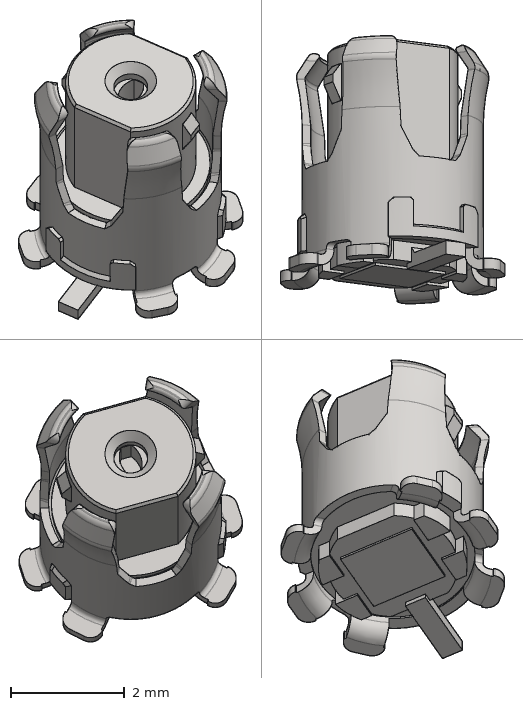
import cadquery as cq
import math

SHELL_RADIUS = 1.6
SHEET = 0.15
BORE_RADIUS = SHELL_RADIUS - SHEET
SHELL_BOTTOM = 0.405
TOTAL_HEIGHT = 4.09

WINDOW_FLOOR = 1.88
FINGER_BEND = 2.76
BULGE_RADIUS = 1.695
BULGE_LOW = 3.6
BULGE_HIGH = 3.72
BULGE_SETBACK = 0.02
TIP_SLOPE_END = (1.485, 4.015)
TIP_OUTER_RADIUS = 1.38
TIP_INNER_RADIUS = 1.358
FINGER_ANGLES = (45, 135, 225, 315)
FINGER_PLANE = 1.718
FINGER_DEPTH = 0.573
FINGER_SIDE_ANGLE = 19.0
FINGER_TIP = 4.225

ROOT_OVERLAP = 0.04

FOOT_REACH = 2.0
FOOT_THICKNESS = 0.195
FOOT_HALF_WIDTH = 0.375
FOOT_ROUND = 0.235
NECK_HALF_WIDTH = 0.348
NECK_ROUND = 0.102
BEND_TOP = 0.295
BEND_INSIDE = BEND_TOP - FOOT_THICKNESS
UNDER_BEND_RADIUS = 0.295
UNDER_BEND_END = BORE_RADIUS + UNDER_BEND_RADIUS
FOOT_ANGLES = (0, 45, 135, 180, 225, 315)

CORE_RADIUS = 1.15
FLAT_OFFSET = 1.0
CORE_CHAMFER = 0.05
CORE_BOTTOM = 0.1
STANDOFF_BOTTOM = 0.05
LEG_RADIUS = 1.31
LEG_INNER_X = 0.845
LEG_INNER_Y = 0.25
LEG_OUTER_Y = 0.777
BASE_PLATE_HALF_WIDTH = 0.715
BASE_PLATE_HALF_LENGTH = 0.615
DISC_RADIUS = 1.4
DISC_TOP = 1.91
DISC_BOTTOM = 0.445
GROOVE_BOTTOM = 1.8

SINK_RADIUS = 0.455
BORE_HOLE_RADIUS = 0.3
SINK_DEPTH = SINK_RADIUS - BORE_HOLE_RADIUS
LEDGE_DEPTH = 0.295
SLIT_HALF_WIDTH = 0.19
SLIT_DEPTH = 0.82

LATCH_REACH = 1.313
LATCH_HALF_WIDTH = 0.155
LATCH_BOTTOM = 3.068
LATCH_FACE_LOW = 3.385
LATCH_FACE_HIGH = 3.53
LATCH_TOP = 3.74

PAD_RADIUS = 1.675
PAD_TOP = 1.11
PAD_CORNER = 0.1
FRONT_PAD_HALF_ANGLE = 33.1
NOTCH_HALF_ANGLE = 17.6
NOTCH_CORNER = 0.05
BAND_OUTER_TOP = 0.595
BAND_INNER_TOP = 0.642
SIDE_PAD_HALF_WIDTH = 0.28
SIDE_PAD_TAPER = 35.0
SIDE_PAD_ANGLES = (22.5, 157.5)

LEAD_HALF_WIDTH = 0.2
LEAD_THICKNESS = 0.245
LEAD_END = 2.2
LEAD_HEEL_TOP = 0.355
LEAD_HEEL_LENGTH = 0.102
LEAD_ROOT = 0.165


def cylinder(radius, bottom, top):
    return cq.Workplane("XY").workplane(offset=bottom).circle(radius).extrude(top - bottom)


def turned(solid, angle):
    """Swing a feature built on the +X side to the given direction."""
    return solid.rotate((0, 0, 0), (0, 0, 1), angle)


def spring_ring():
    """Turned sheet profile above the window floor, before the windows are opened."""
    return (
        cq.Workplane("XZ")
        .moveTo(BORE_RADIUS, WINDOW_FLOOR)
        .lineTo(SHELL_RADIUS, WINDOW_FLOOR)
        .lineTo(SHELL_RADIUS, FINGER_BEND)
        .tangentArcPoint((BULGE_RADIUS, BULGE_LOW), relative=False)
        .tangentArcPoint((BULGE_RADIUS - BULGE_SETBACK, BULGE_HIGH), relative=False)
        .lineTo(*TIP_SLOPE_END)
        .tangentArcPoint((TIP_OUTER_RADIUS, TOTAL_HEIGHT), relative=False)
        .lineTo(TIP_INNER_RADIUS, TOTAL_HEIGHT)
        .threePointArc((1.3, 4.057), (1.292, 4.0))
        .lineTo(1.53, 3.655)
        .threePointArc((1.545, 3.615), (1.54, 3.575))
        .lineTo(BORE_RADIUS, FINGER_BEND)
        .close()
        .revolve(360, (0, 0, 0), (0, 1, 0))
    )


def finger_wedge():
    """One finger's outline, narrowing from outside the sheet towards the axis."""
    right_side = [
        (1.31, 1.635),
        (1.01, 1.89),
        (0.815, 2.07),
        (0.618, 2.425),
        (0.6, FINGER_BEND),
        (0.52, BULGE_LOW),
        (0.55, 3.925),
    ]
    round_middle = (0.46, 4.14)
    round_end = (0.255, FINGER_TIP)
    left_side = [(-y, z) for y, z in reversed(right_side)]
    return (
        cq.Workplane("YZ", origin=(FINGER_PLANE, 0, 0))
        .polyline(right_side)
        .threePointArc(round_middle, round_end)
        .lineTo(-round_end[0], FINGER_TIP)
        .threePointArc((-round_middle[0], round_middle[1]), left_side[0])
        .polyline(left_side[1:], includeCurrent=True)
        .close()
        .extrude(-FINGER_DEPTH, taper=FINGER_SIDE_ANGLE)
    )


def fingers():
    """Four fingers whose side faces run towards the part's axis."""
    finger = spring_ring().intersect(turned(finger_wedge(), 180))
    return [turned(finger, angle - 180) for angle in FINGER_ANGLES]


def body():
    """Shell wall flared out into a foot skirt, filled by the insulator disc.

    A tapered groove separates the top of the disc from the wall.
    """
    slant = UNDER_BEND_RADIUS * math.sqrt(0.5)
    skirt_edge = UNDER_BEND_END + ROOT_OVERLAP
    return (
        cq.Workplane("XZ")
        .moveTo(0, DISC_BOTTOM)
        .lineTo(BORE_RADIUS, DISC_BOTTOM)
        .lineTo(BORE_RADIUS, UNDER_BEND_RADIUS)
        .threePointArc((UNDER_BEND_END - slant, UNDER_BEND_RADIUS - slant), (UNDER_BEND_END, 0))
        .lineTo(skirt_edge, 0)
        .lineTo(skirt_edge, FOOT_THICKNESS)
        .lineTo(SHELL_RADIUS + BEND_INSIDE, FOOT_THICKNESS)
        .radiusArc((SHELL_RADIUS, BEND_TOP), BEND_INSIDE)
        .lineTo(SHELL_RADIUS, WINDOW_FLOOR)
        .lineTo(BORE_RADIUS, WINDOW_FLOOR)
        .lineTo(DISC_RADIUS, GROOVE_BOTTOM)
        .lineTo(DISC_RADIUS, DISC_TOP)
        .lineTo(0, DISC_TOP)
        .close()
        .revolve(360, (0, 0, 0), (0, 1, 0))
    )


def skirt_gap(start_angle, end_angle):
    """Wedge that clears the skirt between the necks of two neighbouring feet."""
    start = math.radians(start_angle)
    end = math.radians(end_angle)
    middle = (start + end) / 2
    apex_distance = NECK_HALF_WIDTH / math.sin((end - start) / 2)
    apex = (apex_distance * math.cos(middle), apex_distance * math.sin(middle))
    arm = 2 * FOOT_REACH
    corners = [apex] + [
        (apex[0] + arm * math.cos(side), apex[1] + arm * math.sin(side)) for side in (start, end)
    ]
    return cq.Workplane("XY").polyline(corners).close().extrude(SHELL_BOTTOM)


def foot_plate():
    """Flat rounded plate of the foot on the +X side."""
    return (
        cq.Workplane("XY")
        .center((UNDER_BEND_END + FOOT_REACH) / 2, 0)
        .rect(FOOT_REACH - UNDER_BEND_END, 2 * FOOT_HALF_WIDTH)
        .extrude(FOOT_THICKNESS)
        .edges("|Z and >X")
        .fillet(FOOT_ROUND)
    )


def core():
    """Flatted insulator post with a chamfered top and a thin base plate below."""
    flats = cq.Workplane("XY").box(
        2 * CORE_RADIUS, 2 * FLAT_OFFSET, TOTAL_HEIGHT, centered=(True, True, False)
    )
    post = cylinder(CORE_RADIUS, CORE_BOTTOM, TOTAL_HEIGHT).intersect(flats)
    post = post.faces(">Z").chamfer(CORE_CHAMFER)
    base_plate = (
        cq.Workplane("XY")
        .workplane(offset=STANDOFF_BOTTOM)
        .rect(2 * BASE_PLATE_HALF_WIDTH, 2 * BASE_PLATE_HALF_LENGTH)
        .extrude(CORE_BOTTOM - STANDOFF_BOTTOM)
    )
    return post.union(base_plate)


def legs():
    """Four insulator legs standing below the disc, either side of the +X and -X feet."""
    center_x = (LEG_INNER_X + LEG_RADIUS) / 2
    center_y = (LEG_INNER_Y + LEG_OUTER_Y) / 2
    centers = [(side_x * center_x, side_y * center_y) for side_x in (-1, 1) for side_y in (-1, 1)]
    blocks = (
        cq.Workplane("XY")
        .workplane(offset=STANDOFF_BOTTOM)
        .pushPoints(centers)
        .rect(LEG_RADIUS - LEG_INNER_X, LEG_OUTER_Y - LEG_INNER_Y)
        .extrude(DISC_BOTTOM - STANDOFF_BOTTOM)
    )
    return blocks.intersect(turned(cylinder(LEG_RADIUS, STANDOFF_BOTTOM, DISC_BOTTOM), 90))


def socket():
    """Countersunk hole that narrows to a lens-shaped slit between the contact springs."""
    ledge = TOTAL_HEIGHT - LEDGE_DEPTH
    mouth = (
        cq.Workplane("XZ")
        .moveTo(0, TOTAL_HEIGHT)
        .lineTo(SINK_RADIUS, TOTAL_HEIGHT)
        .lineTo(BORE_HOLE_RADIUS, TOTAL_HEIGHT - SINK_DEPTH)
        .lineTo(BORE_HOLE_RADIUS, ledge)
        .lineTo(0, ledge)
        .close()
        .revolve(360, (0, 0, 0), (0, 1, 0))
    )
    end_x = SLIT_HALF_WIDTH / 2
    end_y = math.sqrt(BORE_HOLE_RADIUS**2 - end_x**2)
    slit = (
        cq.Workplane("XY")
        .workplane(offset=TOTAL_HEIGHT - SLIT_DEPTH)
        .moveTo(end_x, -end_y)
        .threePointArc((SLIT_HALF_WIDTH, 0), (end_x, end_y))
        .lineTo(-end_x, end_y)
        .threePointArc((-SLIT_HALF_WIDTH, 0), (-end_x, -end_y))
        .close()
        .extrude(SLIT_DEPTH - LEDGE_DEPTH)
    )
    return mouth.union(slit)


def latch_bumps():
    """Wedge-shaped bumps on both round sides of the core."""
    seat = CORE_RADIUS - ROOT_OVERLAP
    wedge = (
        cq.Workplane("XZ")
        .polyline([
            (seat, LATCH_BOTTOM),
            (CORE_RADIUS, LATCH_BOTTOM),
            (LATCH_REACH, LATCH_FACE_LOW),
            (LATCH_REACH, LATCH_FACE_HIGH),
            (CORE_RADIUS, LATCH_TOP),
            (seat, LATCH_TOP),
        ])
        .close()
        .extrude(LATCH_HALF_WIDTH, both=True)
    )
    return wedge.union(turned(wedge, 180))


def side_pad():
    """Pad on the +X side with sloping edges, cut top corners and a round outside."""
    height = PAD_TOP - SHELL_BOTTOM
    shoulder = SIDE_PAD_HALF_WIDTH - PAD_CORNER
    root = math.sqrt(SHELL_RADIUS**2 - SIDE_PAD_HALF_WIDTH**2)
    block = (
        cq.Workplane("YZ", origin=(root, 0, SHELL_BOTTOM))
        .polyline([
            (-SIDE_PAD_HALF_WIDTH, -height),
            (SIDE_PAD_HALF_WIDTH, -height),
            (SIDE_PAD_HALF_WIDTH, height - PAD_CORNER),
            (shoulder, height),
            (-shoulder, height),
            (-SIDE_PAD_HALF_WIDTH, height - PAD_CORNER),
        ])
        .close()
        .extrude(PAD_RADIUS - root, taper=SIDE_PAD_TAPER)
    )
    return block.intersect(turned(cylinder(PAD_RADIUS, SHELL_BOTTOM, PAD_TOP), 180))


def pad_sector(inner_top, outer_top, sweep):
    """Curved block on the shell wall, swept counter-clockwise from the +X direction."""
    root = SHELL_RADIUS - ROOT_OVERLAP
    return (
        cq.Workplane("XZ")
        .polyline([
            (root, SHELL_BOTTOM),
            (PAD_RADIUS, SHELL_BOTTOM),
            (PAD_RADIUS, outer_top),
            (SHELL_RADIUS, inner_top),
            (root, inner_top),
        ])
        .close()
        .revolve(sweep, (0, 0, 0), (0, 1, 0))
    )


def front_pad():
    """Curved band above the lead with a tab rising at each end."""
    band = pad_sector(BAND_INNER_TOP, BAND_OUTER_TOP, 2 * FRONT_PAD_HALF_ANGLE)
    tab = pad_sector(PAD_TOP, PAD_TOP, FRONT_PAD_HALF_ANGLE - NOTCH_HALF_ANGLE)
    tab = tab.edges(">Z").edges("<Y").chamfer(PAD_CORNER)
    tab = tab.edges(">Z").edges("%LINE").edges(">Y").chamfer(NOTCH_CORNER)
    tab = turned(tab, -FRONT_PAD_HALF_ANGLE)
    pad = turned(band, -FRONT_PAD_HALF_ANGLE).union(tab).union(tab.mirror("XZ"))
    return turned(pad, -90)


def lead():
    """Flat signal lead leaving the core towards -Y, with a sloping heel at the core."""
    heel_start = FLAT_OFFSET + LEAD_HEEL_LENGTH
    root = FLAT_OFFSET - LEAD_ROOT
    profile = cq.Workplane("YZ").polyline([
        (-root, 0),
        (-LEAD_END, 0),
        (-LEAD_END, LEAD_THICKNESS),
        (-heel_start, LEAD_THICKNESS),
        (-FLAT_OFFSET, LEAD_HEEL_TOP),
        (-root, LEAD_HEEL_TOP),
    ])
    return profile.close().extrude(LEAD_HALF_WIDTH, both=True)


result = turned(body(), 90)
gap_ends = FOOT_ANGLES[1:] + (FOOT_ANGLES[0] + 360,)
for index, (start_angle, end_angle) in enumerate(zip(FOOT_ANGLES, gap_ends)):
    gap = skirt_gap(start_angle, end_angle)
    has_rounded_corners = index % 2 == 1
    if has_rounded_corners:
        gap = gap.edges(">Z").fillet(NECK_ROUND)
    result = result.cut(gap)
for foot_angle in FOOT_ANGLES:
    result = result.union(turned(foot_plate(), foot_angle))

result = result.union(core()).union(legs()).union(latch_bumps()).cut(socket())

for finger in fingers():
    result = result.union(finger)
result = result.union(front_pad())
for pad_angle in SIDE_PAD_ANGLES:
    result = result.union(turned(side_pad(), pad_angle))
result = result.union(lead())